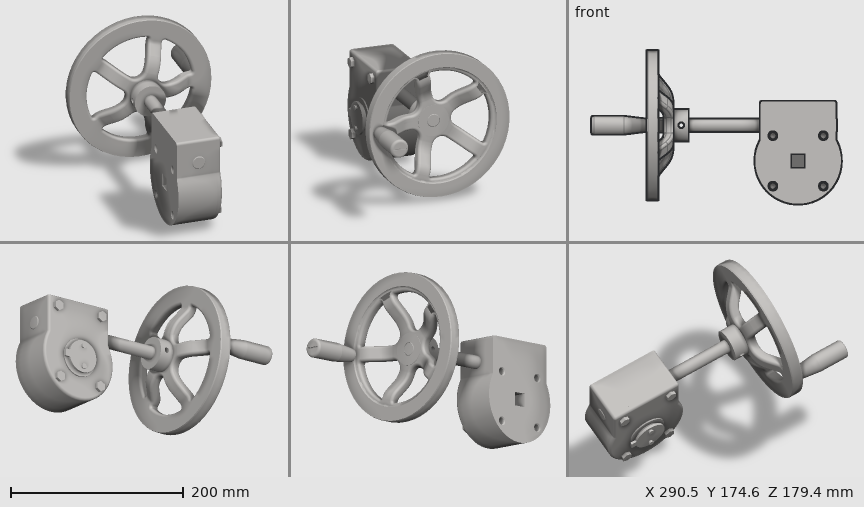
import cadquery as cq
import math

IN = 25.4

shaft_height = 1.625 * IN
shaft_radius = 0.3125 * IN
shaft_chamfer = 0.8

gearbox_radius = 2.0 * IN
gearbox_half_width = 1.75 * IN
gearbox_top = 2.75 * IN
gearbox_depth = 2.125 * IN
cover_thickness = 0.25 * IN
gearbox_fillet = 0.125 * IN
cover_edge_fillet = 3.1

bore_side = 0.625 * IN
mount_offset = 1.625 * IN * math.sqrt(0.5)
mount_hole_radius = 4.0
mount_chamfer = 1.2
mount_hole_depth = 16.0
drill_point_half_angle = 59.0

bolt_across_flats = 0.4375 * IN
bolt_head_height = 4.2
upper_bolt_x = 1.25 * IN
upper_bolt_z = 2.25 * IN

flange_radius = 22.8
flange_height = 1.6
neck_radius = 16.3
neck_height = 3.2
dial_radius = 19.5
dial_thickness = 2.9
pointer_reach = 1.0 * IN
pointer_width = 8.6
button_stem_radius = 2.6
button_stem_height = 2.0
button_head_radius = 3.3
button_head_height = 0.8
button_offset = 0.5 * IN

wheel_radius = 3.4375 * IN
rim_width = 0.5625 * IN
rim_edge_width = 1.6
rim_edge_drop = 0.5
rim_face_inner_radius = 70.8
rim_ledge_fillet = 0.09375 * IN
hub_radius = 0.75 * IN
hub_boss_rise = 0.4
hub_face_offset = 0.78125 * IN
hub_end_offset = 1.9375 * IN
spoke_count = 5
spoke_width = 0.6875 * IN
spoke_thickness = 0.46875 * IN
spoke_fillet = 0.125 * IN
spoke_bend_start = 25.4
spoke_bend_angle = 38.0
hub_bend_radius = 0.875 * IN
rim_bend_radius = 0.25 * IN
web_corner_radius = 0.4375 * IN
rim_corner_radius = 2.5
cross_hole_radius = 0.125 * IN

handle_end_x = -239.72
handle_length = 64.0
handle_grip_length = 1.5 * IN
handle_radius = 0.4375 * IN
handle_neck_radius = 0.3125 * IN
handle_fillet = 0.125 * IN
handle_offset = 74.3
handle_slot_width = 1.6
handle_slot_depth = 1.6

front_y = -gearbox_depth / 2
back_y = gearbox_depth / 2
seam_y = back_y - cover_thickness
rim_x = handle_end_x + handle_length
spoke_blank_width = spoke_width + web_corner_radius
ledge_outer_radius = rim_face_inner_radius - rim_ledge_fillet
ledge_inner_radius = ledge_outer_radius - spoke_fillet
ledge_x = rim_width - spoke_thickness
hub_face_x = rim_x + hub_face_offset - hub_boss_rise
hub_end_x = rim_x + hub_end_offset
shaft_end_x = gearbox_half_width + shaft_chamfer


def rod_x(radius, x_start, x_end, y=0.0, z=shaft_height):
    """Cylinder along X."""
    return cq.Workplane("YZ", origin=(x_start, y, z)).circle(radius).extrude(x_end - x_start)


def disc_y(radius, y_start, height, x=0.0, z=0.0):
    """Cylinder along +Y."""
    return cq.Workplane("XZ", origin=(x, y_start, z)).circle(radius).extrude(-height)


def gearbox_block(y_start, y_end):
    shoulder_z = math.sqrt(gearbox_radius**2 - gearbox_half_width**2)
    block = (
        cq.Workplane("XZ", origin=(0, y_start, 0))
        .moveTo(-gearbox_half_width, shoulder_z)
        .lineTo(-gearbox_half_width, gearbox_top)
        .lineTo(gearbox_half_width, gearbox_top)
        .lineTo(gearbox_half_width, shoulder_z)
        .threePointArc((0, -gearbox_radius), (-gearbox_half_width, shoulder_z))
        .close()
        .extrude(y_start - y_end)
    )
    return block.edges("|Y").fillet(gearbox_fillet)


def mount_hole(x, z):
    """Countersunk blind hole with a drill point, opening in the front face."""
    tip = mount_hole_radius / math.tan(math.radians(drill_point_half_angle))
    return (
        cq.Workplane("XY", origin=(x, front_y, z))
        .polyline([
            (0, 0),
            (mount_hole_radius + mount_chamfer, 0),
            (mount_hole_radius, mount_chamfer),
            (mount_hole_radius, mount_hole_depth),
            (0, mount_hole_depth + tip),
        ])
        .close()
        .revolve(360, (0, 0, 0), (0, 1, 0))
    )


def make_housing():
    body = gearbox_block(front_y, seam_y)
    body = body.cut(
        cq.Workplane("XZ", origin=(0, front_y, 0)).rect(bore_side, bore_side).extrude(front_y - seam_y)
    )
    for x in (-mount_offset, mount_offset):
        for z in (-mount_offset, mount_offset):
            body = body.cut(mount_hole(x, z))
    return body.cut(rod_x(shaft_radius, -gearbox_half_width, gearbox_half_width))


def bolt_head(x, z):
    corner_circle = bolt_across_flats / math.cos(math.pi / 6)
    head = cq.Workplane("XZ", origin=(x, back_y, z)).polygon(6, corner_circle).extrude(-bolt_head_height)
    return head.rotate((x, 0, z), (x, 1, z), 30)


def indicator():
    neck_y = back_y + flange_height
    dial_y = neck_y + neck_height
    top_y = dial_y + dial_thickness
    body = disc_y(flange_radius, back_y, flange_height)
    body = body.union(disc_y(neck_radius, neck_y, neck_height))
    body = body.union(disc_y(dial_radius, dial_y, dial_thickness))
    pointer = cq.Workplane("XY").box(
        pointer_reach, dial_thickness, pointer_width, centered=(False, False, True)
    )
    body = body.union(pointer.translate((0, dial_y, 0)))
    for z in (-button_offset, button_offset):
        body = body.union(disc_y(button_stem_radius, top_y, button_stem_height, z=z))
        body = body.union(disc_y(button_head_radius, top_y + button_stem_height, button_head_height, z=z))
    return body


def make_cover():
    body = gearbox_block(seam_y, back_y).faces(">Y").edges().fillet(cover_edge_fillet)
    for side in (-1, 1):
        body = body.union(bolt_head(side * upper_bolt_x, upper_bolt_z))
        body = body.union(bolt_head(side * mount_offset, -mount_offset))
    return body.union(indicator())


def rim():
    """Outer ring, hollowed at the front down to the ledge that carries the spokes."""
    diagonal = rim_ledge_fillet * math.sqrt(0.5)
    return (
        cq.Workplane("XY")
        .moveTo(0, rim_face_inner_radius)
        .lineTo(0, wheel_radius - rim_edge_drop)
        .lineTo(rim_edge_width, wheel_radius)
        .lineTo(rim_width - rim_edge_width, wheel_radius)
        .lineTo(rim_width, wheel_radius - rim_edge_drop)
        .lineTo(rim_width, ledge_outer_radius)
        .lineTo(ledge_x, ledge_outer_radius)
        .threePointArc((diagonal, ledge_outer_radius + diagonal), (0, rim_face_inner_radius))
        .close()
        .revolve(360, (0, 0, 0), (1, 0, 0))
    )


def spoke():
    """Double-bent arm along +Y into the rim, left wide until the openings are cut."""
    angle = math.radians(spoke_bend_angle)
    sin_full, cos_full = math.sin(angle), math.cos(angle)
    sin_half, cos_half = math.sin(angle / 2), math.cos(angle / 2)
    hub_front, hub_rear = hub_bend_radius, hub_bend_radius + spoke_thickness
    rim_front, rim_rear = rim_bend_radius + spoke_thickness, rim_bend_radius

    slant_drop = hub_face_offset - ledge_x - (hub_front + rim_front) * (1 - cos_full)
    slant_reach = slant_drop / math.tan(angle)

    hub_bend = (hub_face_offset - hub_front, spoke_bend_start)
    slant_start = (hub_bend[0] + hub_front * cos_full, hub_bend[1] + hub_front * sin_full)
    slant_end = (slant_start[0] - slant_drop, slant_start[1] + slant_reach)
    rim_bend = (slant_end[0] + rim_front * cos_full, slant_end[1] + rim_front * sin_full)

    def on_hub_bend(radius, c, s):
        return (hub_bend[0] + radius * c, hub_bend[1] + radius * s)

    def on_rim_bend(radius, c, s):
        return (rim_bend[0] - radius * c, rim_bend[1] - radius * s)

    return (
        cq.Workplane("XY", origin=(0, 0, -spoke_blank_width / 2))
        .moveTo(hub_face_offset, 0)
        .lineTo(hub_face_offset, spoke_bend_start)
        .threePointArc(on_hub_bend(hub_front, cos_half, sin_half), slant_start)
        .lineTo(*slant_end)
        .threePointArc(on_rim_bend(rim_front, cos_half, sin_half), (ledge_x, rim_bend[1]))
        .lineTo(ledge_x, ledge_outer_radius)
        .lineTo(rim_width, ledge_outer_radius)
        .lineTo(rim_width, rim_bend[1])
        .threePointArc(on_rim_bend(rim_rear, cos_half, sin_half), on_rim_bend(rim_rear, cos_full, sin_full))
        .lineTo(*on_hub_bend(hub_rear, cos_full, sin_full))
        .threePointArc(on_hub_bend(hub_rear, cos_half, sin_half), on_hub_bend(hub_rear, 1, 0))
        .lineTo(hub_face_offset + spoke_thickness, 0)
        .close()
        .extrude(spoke_blank_width)
    )


def around_wheel(arm):
    """One copy of an arm per spoke, fused."""
    body = arm
    for i in range(1, spoke_count):
        body = body.union(arm.rotate((0, 0, 0), (1, 0, 0), i * 360 / spoke_count))
    return body


def openings():
    """Prisms along X through the gaps between spokes, with rounded corners."""
    length = hub_end_offset
    bar = cq.Workplane("XY").box(length, wheel_radius, spoke_width, centered=(False, False, True))
    gaps = rod_x(ledge_inner_radius, 0, length, z=0).cut(around_wheel(bar))
    near_hub = cq.selectors.BoxSelector(
        (0, -spoke_bend_start, -spoke_bend_start), (length, spoke_bend_start, spoke_bend_start)
    )
    gaps = gaps.edges("|X").edges(near_hub).fillet(web_corner_radius)
    rim_corners = gaps.edges("|X").filter(
        lambda edge: abs(math.hypot(edge.Center().y, edge.Center().z) - ledge_inner_radius) < 0.01
    )
    return rim_corners.fillet(rim_corner_radius)


def spider():
    """Five spokes and the rim ledge, with rounded edges around the openings."""
    ledge = (
        cq.Workplane("YZ", origin=(ledge_x, 0, 0))
        .circle(rim_face_inner_radius)
        .circle(ledge_inner_radius - rim_corner_radius)
        .extrude(spoke_thickness)
    )
    body = around_wheel(spoke()).union(ledge).cut(openings())
    return body.edges(cq.selectors.RadiusNthSelector(0)).fillet(spoke_fillet)


def cross_hole():
    """Pin hole along Y through the middle of the hub's rear part and the shaft."""
    x = hub_end_x - (hub_end_offset - hub_face_offset - spoke_thickness) / 2
    return disc_y(cross_hole_radius, -hub_radius, 2 * hub_radius, x, shaft_height)


def make_wheel():
    wheel = spider().union(rim())
    hub = rod_x(hub_radius, hub_face_offset - hub_boss_rise, hub_end_offset, z=0)
    wheel = wheel.union(hub)
    wheel = wheel.translate((rim_x, 0, shaft_height))
    bore = rod_x(shaft_radius, hub_face_x, hub_end_x)
    return wheel.cut(bore).cut(cross_hole())


def make_handle():
    grip_end = handle_end_x + handle_grip_length
    diagonal = handle_fillet * (1 - math.sqrt(0.5))
    body = (
        cq.Workplane("XY", origin=(0, handle_offset, shaft_height))
        .moveTo(handle_end_x, 0)
        .lineTo(handle_end_x, handle_radius - handle_fillet)
        .threePointArc(
            (handle_end_x + diagonal, handle_radius - diagonal),
            (handle_end_x + handle_fillet, handle_radius),
        )
        .lineTo(grip_end, handle_radius)
        .lineTo(rim_x, handle_neck_radius)
        .lineTo(rim_x, 0)
        .close()
        .revolve(360, (0, 0, 0), (1, 0, 0))
    )
    slot_length = 2 * (handle_radius - handle_fillet)
    slot = cq.Workplane("XY").box(
        handle_slot_depth, slot_length, handle_slot_width, centered=(False, True, True)
    )
    return body.cut(slot.translate((handle_end_x, handle_offset, shaft_height)))


def make_shaft():
    body = rod_x(shaft_radius, hub_face_x, shaft_end_x).faces("<X or >X").chamfer(shaft_chamfer)
    return body.cut(cross_hole())


housing = make_housing()
cover = make_cover()
shaft = make_shaft()
wheel = make_wheel()
handle = make_handle()

result = cq.Compound.makeCompound(
    [housing.val(), cover.val(), shaft.val(), wheel.val(), handle.val()]
)